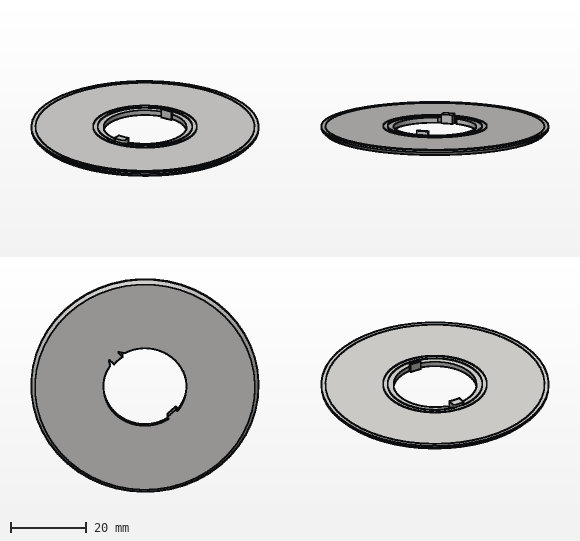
import cadquery as cq
import math

disc_radius = 30.0
rim_height = 1.5
bevel = 1.0
recess_radius = 57.8 / 2
recess_depth = 0.1
floor_height = rim_height - recess_depth
bore_radius = 10.95

collar_outer_radius = 27.4 / 2
collar_inner_radius = 12.5
collar_height = 1.6

tab_width = 3.1
tab_height = 2.4
tab_inner_radius = 10.35
tab_outer_radius = 12.6
rear_tab_inner_y = 10.2
tab_corner_radius = 0.6

notch_bottom_y = -11.95
notch_bottom_half_width = 1.85
notch_flare_angle = 30.0


def disc_with_collar():
    """Revolve the half section of the disc about the Z axis."""
    section = [
        (bore_radius, 0),
        (disc_radius - bevel, 0),
        (disc_radius, bevel),
        (disc_radius, rim_height),
        (recess_radius, rim_height),
        (recess_radius, floor_height),
        (collar_outer_radius, floor_height),
        (collar_outer_radius, collar_height),
        (collar_inner_radius, collar_height),
        (collar_inner_radius, floor_height),
        (bore_radius, floor_height),
    ]
    return cq.Workplane("XZ").polyline(section).close().revolve(axisStart=(0, 0), axisEnd=(0, 1))


def relief_notch():
    """Trapezoidal cutter that widens towards the bore centre."""
    mouth_y = -tab_inner_radius
    flare = (mouth_y - notch_bottom_y) * math.tan(math.radians(notch_flare_angle))
    mouth_half_width = notch_bottom_half_width + flare
    outline = [
        (-notch_bottom_half_width, notch_bottom_y),
        (notch_bottom_half_width, notch_bottom_y),
        (mouth_half_width, mouth_y),
        (-mouth_half_width, mouth_y),
    ]
    return cq.Workplane("XY").polyline(outline).close().extrude(collar_height)


def front_tab():
    """Block between two concentric arcs, rounded at its outer corners."""
    ring = cq.Workplane("XY").circle(tab_outer_radius).circle(tab_inner_radius).extrude(tab_height)
    front_half = cq.Workplane("XY").center(0, -tab_outer_radius / 2)
    strip = front_half.rect(tab_width, tab_outer_radius).extrude(tab_height)
    tab = ring.intersect(strip)
    outer_corners = cq.selectors.BoxSelector(
        (-tab_width, -tab_outer_radius, 0),
        (tab_width, -bore_radius, tab_height),
    )
    return tab.edges("|Z").edges(outer_corners).fillet(tab_corner_radius)


def rear_tab():
    """Flat block against the bore wall."""
    depth = bore_radius - rear_tab_inner_y
    centre_y = rear_tab_inner_y + depth / 2
    return cq.Workplane("XY").center(0, centre_y).rect(tab_width, depth).extrude(tab_height)


result = disc_with_collar().cut(relief_notch()).union(front_tab()).union(rear_tab())